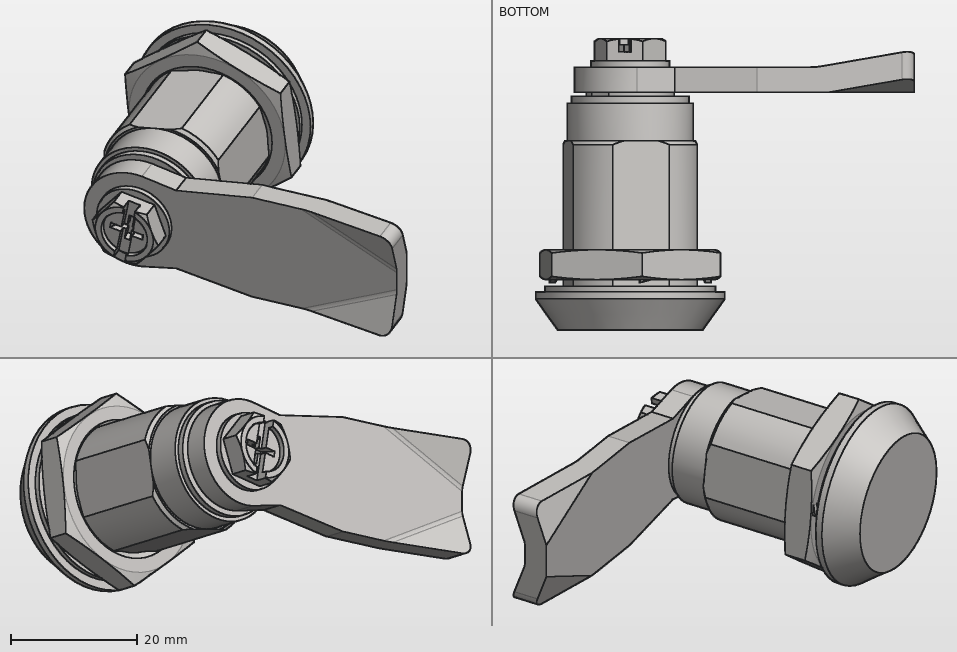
import cadquery as cq
import math


head_height = 6.1
gasket_thickness = 0.9
nut_front = 1.9
nut_thickness = 4.75
barrel_end = 23.9
housing_end = 29.9
collar_end = 31.0
cam_back = 31.6
cam_thickness = 4.0
washer_thickness = 0.95
overall_length = 46.2
screw_end = overall_length - head_height

head_diameter = 30.05
head_face_diameter = 23.0
head_rim_height = 1.15
barrel_diameter = 22.0
barrel_flats = 20.0
barrel_chamfer = 0.6
nose_diameter = 20.0
flat_angle = 10.0

gasket_diameter = 27.1

nut_height = 30.95
nut_clocking = 7.0
nut_crown_diameter = 26.9
nut_crown_angle = 14.0
nut_bore_diameter = 20.45
nut_countersink_diameter = 22.5
nut_countersink_angle = 30.0
tooth_inner_diameter = 23.9
tooth_outer_diameter = 25.85
tooth_height = 0.5
tooth_span_angle = 8.0
tooth_count = 4

collar_diameter = 18.7
neck_diameter = 14.0
neck_flats = 13.45
neck_flat_angle = 45.0

cam_tip = 45.1
cam_width = 18.8
cam_round_radius = 8.65
cam_round_center = -0.2
cam_round_end = 1.1
waist_x = 7.05
waist_half_width = 7.4
shoulder_x = 20.1
cam_corner_radius = 2.0
fold_start_x = 29.5
fold_line_angle = 25.4
bend_angle = 22.0
bend_radius = 2.0

washer_diameter = 12.5
screw_flats = 10.0
screw_clocking = -10.0
screw_crown_angle = 30.0
dish_diameter = 7.95
dish_depth = 0.95
slot_width = 2.0
slot_depth = 2.1
cross_length = 5.7
cross_floor_length = 3.6
cross_width = 0.9
cross_depth = 2.15

HEXAGON_HALF_SECTOR = 30.0
LOCK_AXIS = ((0, 0, 0), (0, 1, 0))


def section_plane(station):
    """Plane across the lock axis whose normal points toward -Y."""
    return cq.Workplane("XZ").workplane(offset=station)


def disc(diameter, station, thickness):
    return section_plane(station).circle(diameter / 2).extrude(thickness)


def turned(profile):
    """Revolve (radius, station) points about the lock axis."""
    points = [(radius, -station) for radius, station in profile]
    return cq.Workplane("XY").polyline(points).close().revolve(360, *LOCK_AXIS)


def turn_about_axis(body, angle):
    """Rotate a body counterclockwise as seen from its -Y end."""
    return body.rotate(*LOCK_AXIS, -angle)


def hexagon(across_corners, station, thickness, clocking):
    prism = section_plane(station).polygon(6, across_corners).extrude(thickness)
    return turn_about_axis(prism, clocking)


def crown_drop(across_corners, crown_diameter, crown_angle):
    """Axial depth of a crown chamfer at the corners of a hexagon."""
    return (across_corners - crown_diameter) / 2 * math.tan(math.radians(crown_angle))


def make_barrel():
    radius = barrel_diameter / 2
    round_bar = turned([
        (0, 0),
        (radius, 0),
        (radius, barrel_end - barrel_chamfer),
        (radius - barrel_chamfer, barrel_end),
        (0, barrel_end),
    ])
    square_bar = section_plane(0).rect(barrel_flats, barrel_flats).extrude(barrel_end)
    return round_bar.intersect(turn_about_axis(square_bar, flat_angle))


def make_housing(barrel):
    head = turned([
        (0, 0),
        (head_diameter / 2, 0),
        (head_diameter / 2, -head_rim_height),
        (head_face_diameter / 2, -head_height),
        (0, -head_height),
    ])
    nose = disc(nose_diameter, barrel_end, housing_end - barrel_end)
    return head.union(barrel).union(nose)


def make_gasket(barrel):
    return disc(gasket_diameter, 0, gasket_thickness).cut(barrel)


def make_nut_tooth(angle):
    inner_radius = tooth_inner_diameter / 2
    outer_radius = tooth_outer_diameter / 2
    ramp_length = outer_radius * math.tan(math.radians(tooth_span_angle))
    wedge = (
        cq.Workplane("XY", origin=(0, 0, inner_radius))
        .moveTo(0, -nut_front)
        .lineTo(0, -nut_front + tooth_height)
        .lineTo(-ramp_length, -nut_front)
        .close()
        .extrude(outer_radius - inner_radius)
    )
    return turn_about_axis(wedge, angle)


def make_nut(barrel):
    across_corners = nut_height / math.cos(math.radians(nut_clocking))
    corner_radius = across_corners / 2
    crown_radius = nut_crown_diameter / 2
    drop = crown_drop(across_corners, nut_crown_diameter, nut_crown_angle)
    nut_back = nut_front + nut_thickness
    crown_envelope = turned([
        (0, nut_front),
        (crown_radius, nut_front),
        (corner_radius, nut_front + drop),
        (corner_radius, nut_back - drop),
        (crown_radius, nut_back),
        (0, nut_back),
    ])
    bore_radius = nut_bore_diameter / 2
    countersink_radius = nut_countersink_diameter / 2
    countersink_slope = math.tan(math.radians(nut_countersink_angle))
    countersink_depth = (countersink_radius - bore_radius) * countersink_slope
    bore = turned([
        (0, nut_front),
        (countersink_radius, nut_front),
        (bore_radius, nut_front + countersink_depth),
        (bore_radius, nut_back - countersink_depth),
        (countersink_radius, nut_back),
        (0, nut_back),
    ])
    nut = hexagon(across_corners, nut_front, nut_thickness, nut_clocking + HEXAGON_HALF_SECTOR)
    nut = nut.intersect(crown_envelope).cut(bore).cut(barrel)
    for index in range(tooth_count):
        nut = nut.union(make_nut_tooth(nut_clocking + index * 360 / tooth_count))
    return nut


def make_spindle():
    neck_length = cam_back - collar_end
    neck = disc(neck_diameter, collar_end, neck_length)
    flats = section_plane(collar_end).rect(neck_flats, neck_diameter).extrude(neck_length)
    neck = neck.intersect(turn_about_axis(flats, neck_flat_angle))
    return disc(collar_diameter, housing_end, collar_end - housing_end).union(neck)


def make_cam_outline():
    """Plan form of the cam, deep enough to hold the bent corners."""
    round_end_z = math.sqrt(cam_round_radius**2 - (cam_round_end - cam_round_center) ** 2)
    outline = (
        section_plane(cam_back)
        .moveTo(cam_round_end, -round_end_z)
        .threePointArc((cam_round_center - cam_round_radius, 0), (cam_round_end, round_end_z))
        .lineTo(waist_x, waist_half_width)
        .lineTo(shoulder_x, cam_width / 2)
        .lineTo(cam_tip, cam_width / 2)
        .lineTo(cam_tip, -cam_width / 2)
        .lineTo(shoulder_x, -cam_width / 2)
        .lineTo(waist_x, -waist_half_width)
        .close()
        .extrude(3 * cam_thickness)
    )
    return outline.edges("|Y and >X").fillet(cam_corner_radius)


def make_fold_plane():
    """Plane across the upper fold: its axes run outward over the wing and toward +Y."""
    line_angle = math.radians(fold_line_angle)
    return cq.Plane(
        origin=(fold_start_x, -cam_back - cam_thickness, cam_width / 2),
        xDir=(math.sin(line_angle), 0, math.cos(line_angle)),
        normal=(-math.cos(line_angle), 0, math.sin(line_angle)),
    )


def make_space_in_front():
    """Space on the -Y side of a sheet that is flat up to the upper fold and bent beyond it."""
    reach = 2 * cam_tip
    wing_drop = cam_width * math.tan(math.radians(bend_angle))
    fold_plane = make_fold_plane()
    space = (
        cq.Workplane(fold_plane)
        .moveTo(-reach, 0)
        .lineTo(0, 0)
        .lineTo(cam_width, -wing_drop)
        .lineTo(cam_width, -reach)
        .lineTo(-reach, -reach)
        .close()
        .extrude(reach, both=True)
    )
    inner_bend = cq.selectors.NearestToPointSelector(fold_plane.origin.toTuple())
    return space.edges(inner_bend).fillet(bend_radius)


def make_space_behind_wing():
    """Wedge on the +Y side of the bent upper corner."""
    bend = math.radians(bend_angle)
    crease = cam_thickness * math.tan(bend / 2)
    return (
        cq.Workplane(make_fold_plane())
        .moveTo(crease, cam_thickness)
        .lineTo(cam_width, cam_thickness)
        .lineTo(cam_width, cam_thickness - (cam_width - crease) * math.tan(bend))
        .close()
        .extrude(cam_tip, both=True)
    )


def make_cam():
    front_space = make_space_in_front()
    wedge = make_space_behind_wing()
    cam = make_cam_outline().cut(front_space.intersect(front_space.mirror("XY")))
    return cam.cut(wedge).cut(wedge.mirror("XY"))


def make_washer():
    return disc(washer_diameter, cam_back + cam_thickness, washer_thickness)


def make_cross_arm(angle):
    """Flat blade that narrows toward the floor of the cross recess."""
    mouth = -screw_end + dish_depth
    arm = (
        cq.Workplane("XY", origin=(0, 0, -cross_width / 2))
        .moveTo(-cross_length / 2, mouth)
        .lineTo(cross_length / 2, mouth)
        .lineTo(cross_floor_length / 2, mouth + cross_depth)
        .lineTo(-cross_floor_length / 2, mouth + cross_depth)
        .close()
        .extrude(cross_width)
    )
    return turn_about_axis(arm, angle)


def make_screw():
    seat = cam_back + cam_thickness + washer_thickness
    across_corners = screw_flats / math.cos(math.radians(HEXAGON_HALF_SECTOR))
    drop = crown_drop(across_corners, screw_flats, screw_crown_angle)
    crown_envelope = turned([
        (0, seat),
        (across_corners / 2, seat),
        (across_corners / 2, screw_end - drop),
        (screw_flats / 2, screw_end),
        (0, screw_end),
    ])
    slot = section_plane(screw_end - slot_depth).rect(slot_width, across_corners).extrude(slot_depth)
    screw = hexagon(across_corners, seat, screw_end - seat, screw_clocking)
    screw = screw.intersect(crown_envelope)
    screw = screw.cut(disc(dish_diameter, screw_end - dish_depth, dish_depth))
    screw = screw.cut(turn_about_axis(slot, screw_clocking))
    for quarter_turn in (0, 90):
        screw = screw.cut(make_cross_arm(screw_clocking + quarter_turn))
    return screw


barrel = make_barrel()
housing = make_housing(barrel)
gasket = make_gasket(barrel)
nut = make_nut(barrel)
spindle = make_spindle()
cam = make_cam()
washer = make_washer()
screw = make_screw()

result = cq.Compound.makeCompound([
    housing.val(),
    gasket.val(),
    nut.val(),
    spindle.val(),
    cam.val(),
    washer.val(),
    screw.val(),
])